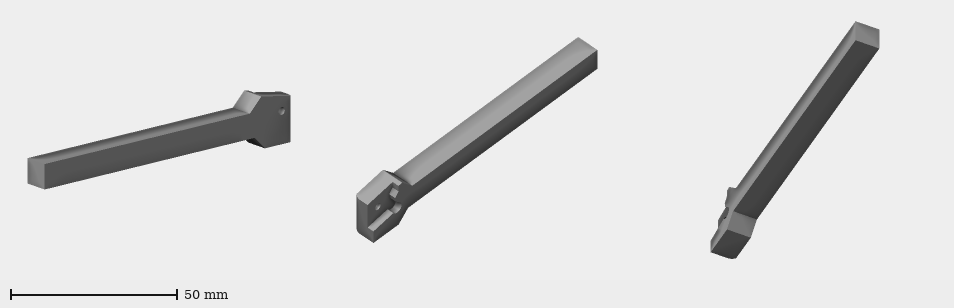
import cadquery as cq
import math

length = 97.5
shank_size = 8.0
head_bottom = -4.1
head_peak = 12.5
tilt = math.tan(math.radians(10))

peak_setback = 12.5
upper_shoulder_end = peak_setback + head_peak - shank_size
lower_shoulder_end = 15.1
lower_shoulder_start = lower_shoulder_end + head_bottom
nose_top = head_peak - peak_setback * tilt

pocket_depth = 2.4
floor_height = 0.8
relief_setback = 10.4
relief_height = 3.2
relief_radius = 1.9
relief_length = 2.4
wall_setback = 9.5
wall_top = 8.1
notch_setback = 10.9
notch_height = 9.9
pocket_clearance = 1.0

hole_setback = 4.5
hole_height = 6.3
hole_diameter = 2.4

rounding_width = 2.4
rounding_drop = 1.1


def make_body():
    """Square shank and flared head, extruded across the width."""
    outline = [
        (0, head_bottom),
        (-lower_shoulder_start, head_bottom),
        (-lower_shoulder_end, 0),
        (-length, 0),
        (-length, shank_size),
        (-upper_shoulder_end, shank_size),
        (-peak_setback, head_peak),
        (0, nose_top),
    ]
    return cq.Workplane("YZ").polyline(outline).close().extrude(shank_size)


def make_pocket():
    """Tilted insert seat with a round-ended diagonal relief in its inner corner."""
    above_head = head_peak + pocket_clearance
    wall_base_setback = wall_setback + (wall_top - relief_height) * tilt
    outline = [
        (pocket_clearance, floor_height - pocket_clearance * tilt),
        (-relief_setback, floor_height + relief_setback * tilt),
        (-wall_base_setback, relief_height),
        (-wall_setback, wall_top),
        (-notch_setback, notch_height),
        (-notch_setback, above_head),
        (pocket_clearance, above_head),
    ]
    seat = cq.Workplane("YZ").polyline(outline).close().extrude(pocket_depth)
    relief = (
        cq.Workplane("YZ")
        .center(-relief_setback, relief_height)
        .transformed(rotate=(0, 0, 45))
        .center(relief_length / 2, 0)
        .slot2D(relief_length + 2 * relief_radius, 2 * relief_radius)
        .extrude(pocket_depth)
    )
    return seat.union(relief)


def make_screw_hole():
    return (
        cq.Workplane("YZ")
        .center(-hole_setback, hole_height)
        .circle(hole_diameter / 2)
        .extrude(shank_size)
    )


def make_nose_rounding():
    """Waste outside an arc that leaves the nose face tangentially."""
    radius = (rounding_width**2 + rounding_drop**2) / (2 * rounding_drop)
    half_angle = math.atan2(rounding_drop, rounding_width)
    start_x = shank_size - rounding_width
    arc_middle = (
        start_x + radius * math.sin(half_angle),
        radius * (math.cos(half_angle) - 1),
    )
    return (
        cq.Workplane("XY", origin=(0, 0, head_bottom))
        .moveTo(start_x, 0)
        .threePointArc(arc_middle, (shank_size, -rounding_drop))
        .lineTo(shank_size, 0)
        .close()
        .extrude(head_peak - head_bottom)
    )


result = (
    make_body()
    .cut(make_pocket())
    .cut(make_screw_hole())
    .cut(make_nose_rounding())
)